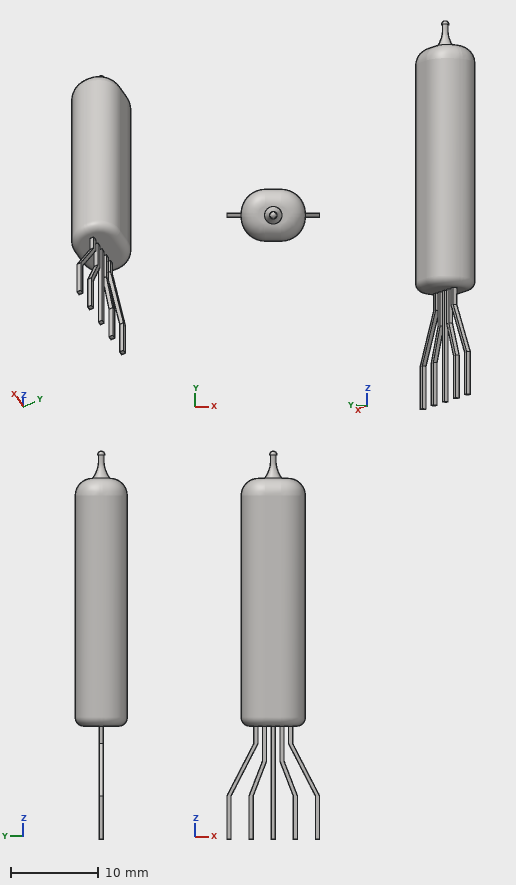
import cadquery as cq
import math

GLASS_LENGTH_X = 7.39
GLASS_WIDTH_Y = 5.99
GLASS_HEIGHT = 28.5
GLASS_CORNER_RADIUS = 2.8
SHOULDER_RADIUS = 2.0
BASE_EDGE_RADIUS = 1.0

TIP_HEIGHT = 3.12
TIP_FOOT_RADIUS = 1.0
TIP_STEM_RADIUS = 0.34
BEAD_RADIUS = 0.43
BEAD_HEIGHT = 0.45
BEAD_END_DIAMETER = 0.005
TIP_FLARE_HEIGHT = 1.9
FLARE_MIDDLE_SPREAD = 0.25

LEAD_THICKNESS = 0.5
LEAD_LENGTH = 13.0
OUTER_POSITION = 2
LEAD_PITCH_AT_GLASS = 1.0
LEAD_PITCH_AT_END = 2.54
LOWER_BEND_RISE = 5.0
INNER_UPPER_BEND_RISE = 9.0
OUTER_UPPER_BEND_RISE = 11.0


def make_glass():
    """Column with a large shoulder fillet on top and a smaller one at the base."""
    column = (
        cq.Workplane("XY")
        .rect(GLASS_LENGTH_X, GLASS_WIDTH_Y)
        .extrude(GLASS_HEIGHT)
        .edges("|Z")
        .fillet(GLASS_CORNER_RADIUS)
    )
    shouldered = column.faces(">Z").edges().fillet(SHOULDER_RADIUS)
    return shouldered.faces("<Z").edges().fillet(BASE_EDGE_RADIUS)


def make_tip():
    """Turned tip: one smooth curve from the flared foot to the stem, with a domed bead on top."""
    stem_bottom = GLASS_HEIGHT + TIP_FLARE_HEIGHT
    tip_top = GLASS_HEIGHT + TIP_HEIGHT
    bead_bottom = tip_top - BEAD_HEIGHT
    flare_middle = (
        TIP_STEM_RADIUS + (TIP_FOOT_RADIUS - TIP_STEM_RADIUS) * FLARE_MIDDLE_SPREAD,
        GLASS_HEIGHT + TIP_FLARE_HEIGHT / 2,
    )
    stem_curve = [flare_middle, (TIP_STEM_RADIUS, stem_bottom), (TIP_STEM_RADIUS, bead_bottom)]
    stem_tangents = [None, None, (0, 1), (0, 1)]
    dome_middle = (
        BEAD_RADIUS * math.sin(math.pi / 4),
        bead_bottom + BEAD_HEIGHT * math.sin(math.pi / 4),
    )
    return (
        cq.Workplane("XZ")
        .moveTo(0, GLASS_HEIGHT)
        .lineTo(TIP_FOOT_RADIUS, GLASS_HEIGHT)
        .spline(stem_curve, tangents=stem_tangents, includeCurrent=True)
        .lineTo(BEAD_RADIUS, bead_bottom)
        .threePointArc(dome_middle, (BEAD_END_DIAMETER / 2, tip_top))
        .lineTo(0, tip_top)
        .close()
        .revolve(360, (0, 0, 0), (0, 1, 0))
    )


def make_lead(position, upper_bend_rise):
    """Flat-sided wire hanging from the glass; position counts leads from the middle one."""
    x_top = position * LEAD_PITCH_AT_GLASS
    x_end = position * LEAD_PITCH_AT_END
    path = [(x_top, 0)]
    if position != 0:
        path.append((x_top, upper_bend_rise - LEAD_LENGTH))
        path.append((x_end, LOWER_BEND_RISE - LEAD_LENGTH))
    path.append((x_end, -LEAD_LENGTH))
    half = LEAD_THICKNESS / 2
    left_side = [(x - half, z) for x, z in path]
    right_side = [(x + half, z) for x, z in reversed(path)]
    return cq.Workplane("XZ").polyline(left_side + right_side).close().extrude(half, both=True)


def make_leads():
    """Five leads in a row: a straight middle one and two mirrored pairs that splay outward."""
    leads = []
    for position in range(-OUTER_POSITION, OUTER_POSITION + 1):
        is_outer = abs(position) == OUTER_POSITION
        upper_bend_rise = OUTER_UPPER_BEND_RISE if is_outer else INNER_UPPER_BEND_RISE
        leads.append(make_lead(position, upper_bend_rise))
    return leads


glass = make_glass()
tip = make_tip()
leads = make_leads()

result = cq.Compound.makeCompound([glass.val(), tip.val(), *[lead.val() for lead in leads]])